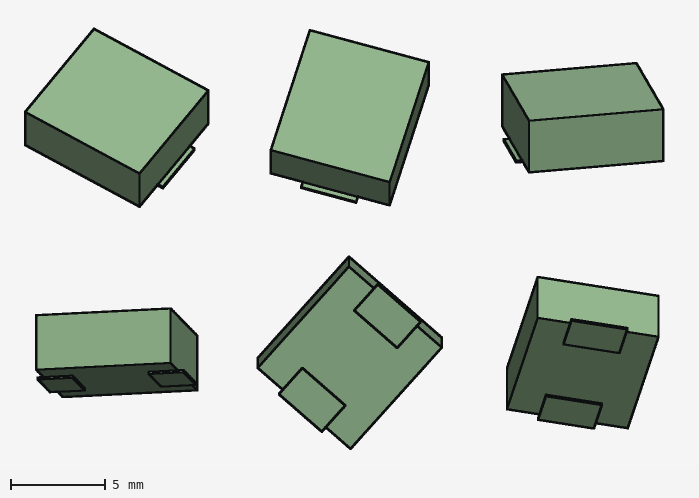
import cadquery as cq

overall_length = 7.93
overall_height = 3.1
body_length = 7.32
body_width = 6.6
terminal_length = 1.89
terminal_width = 3.05
terminal_thickness = 0.12

body_height = overall_height - terminal_thickness
terminal_offset = (overall_length - terminal_length) / 2


def make_body():
    """Plain rectangular block resting on top of the terminals."""
    return (
        cq.Workplane("XY")
        .workplane(offset=terminal_thickness)
        .rect(body_length, body_width)
        .extrude(body_height)
    )


def make_terminal(side):
    """Flat terminal under one end of the body; side is -1 or +1 along X."""
    return (
        cq.Workplane("XY")
        .center(side * terminal_offset, 0)
        .rect(terminal_length, terminal_width)
        .extrude(terminal_thickness)
    )


body = make_body()
terminals = [make_terminal(side) for side in (-1, 1)]

result = cq.Compound.makeCompound([body.val(), *[terminal.val() for terminal in terminals]])